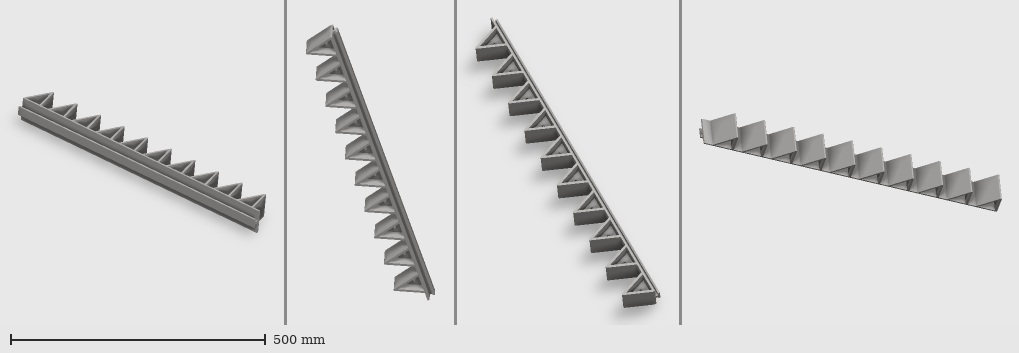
import cadquery as cq
import math

length_overall = 673.0
height = 50.5
slant = 6.0
strip_length = length_overall - slant
depth_overall = 70.5

rail_flange_thickness = 4.0
rail_flange_height = 19.0
rail_stem_length = 6.0
rail_stem_height = 6.0
plate_thickness = 4.0
plate_front = rail_flange_thickness + rail_stem_length
plate_back = plate_front + plate_thickness

tooth_count = 10
tooth_pitch = strip_length / tooth_count
tooth_base_width = 48.0
tooth_tip_radius = 2.0
tooth_wall = 5.0
tooth_length = depth_overall - plate_back

tip_center_distance = tooth_length - tooth_tip_radius
base_corner_distance = math.hypot(tooth_base_width / 2, tip_center_distance)
flank_angle = math.atan2(tooth_base_width / 2, tip_center_distance) - math.asin(
    tooth_tip_radius / base_corner_distance
)

floor_thickness = 4.0
slot_length = 8.0
slot_width = 6.0
slot_from_plate = 15.5

mid_height = height / 2


def shift_at(z):
    """X shift of the slanted strip at height z."""
    return slant * z / height


def slanted_prism(outline, z_low, z_high):
    """Extrude a closed XY outline from z_low to z_high along the slant."""
    wire = outline.val().translate(cq.Vector(shift_at(z_low), 0, z_low))
    path = cq.Vector(shift_at(z_high) - shift_at(z_low), 0, z_high - z_low)
    return cq.Workplane(cq.Solid.extrudeLinear(wire, [], path))


def slanted_bar(y_front, y_back, bar_height):
    """Full-length bar centred on the mid height."""
    corners = [(0, y_front), (strip_length, y_front), (strip_length, y_back), (0, y_back)]
    outline = cq.Workplane("XY").polyline(corners).close()
    return slanted_prism(outline, mid_height - bar_height / 2, mid_height + bar_height / 2)


def tooth_outline(center_x):
    """Triangle with a round tip tangent to both flanks."""
    half_base = tooth_base_width / 2
    half_tip = tooth_tip_radius * math.cos(flank_angle)
    tangent_y = depth_overall - tooth_tip_radius * (1 - math.sin(flank_angle))
    return (
        cq.Workplane("XY")
        .moveTo(center_x - half_base, plate_back)
        .lineTo(center_x + half_base, plate_back)
        .lineTo(center_x + half_tip, tangent_y)
        .threePointArc((center_x, depth_overall), (center_x - half_tip, tangent_y))
        .close()
    )


def cavity_outline(center_x):
    """Sharp triangle whose sides lie one wall inside the tooth flanks."""
    half_base = tooth_base_width / 2 - tooth_wall / math.cos(flank_angle)
    cavity_length = half_base / math.tan(flank_angle)
    corners = [
        (center_x - half_base, plate_back),
        (center_x + half_base, plate_back),
        (center_x, plate_back + cavity_length),
    ]
    return cq.Workplane("XY").polyline(corners).close()


def tooth(center_x):
    body = slanted_prism(tooth_outline(center_x), 0, height)
    floor_low = mid_height - floor_thickness / 2
    floor_high = mid_height + floor_thickness / 2
    cavity = cavity_outline(center_x)
    body = body.cut(slanted_prism(cavity, 0, floor_low))
    body = body.cut(slanted_prism(cavity, floor_high, height))
    slot_position = (center_x + shift_at(mid_height), plate_back + slot_from_plate, floor_low)
    slot = cq.Workplane("XY", origin=slot_position).slot2D(slot_length, slot_width).extrude(floor_thickness)
    return body.cut(slot)


plate = slanted_bar(plate_front, plate_back, height)
rail_stem = slanted_bar(rail_flange_thickness, plate_front, rail_stem_height)
rail_flange = slanted_bar(0, rail_flange_thickness, rail_flange_height)
result = plate.union(rail_stem).union(rail_flange)

for index in range(tooth_count):
    result = result.union(tooth(tooth_base_width / 2 + index * tooth_pitch))